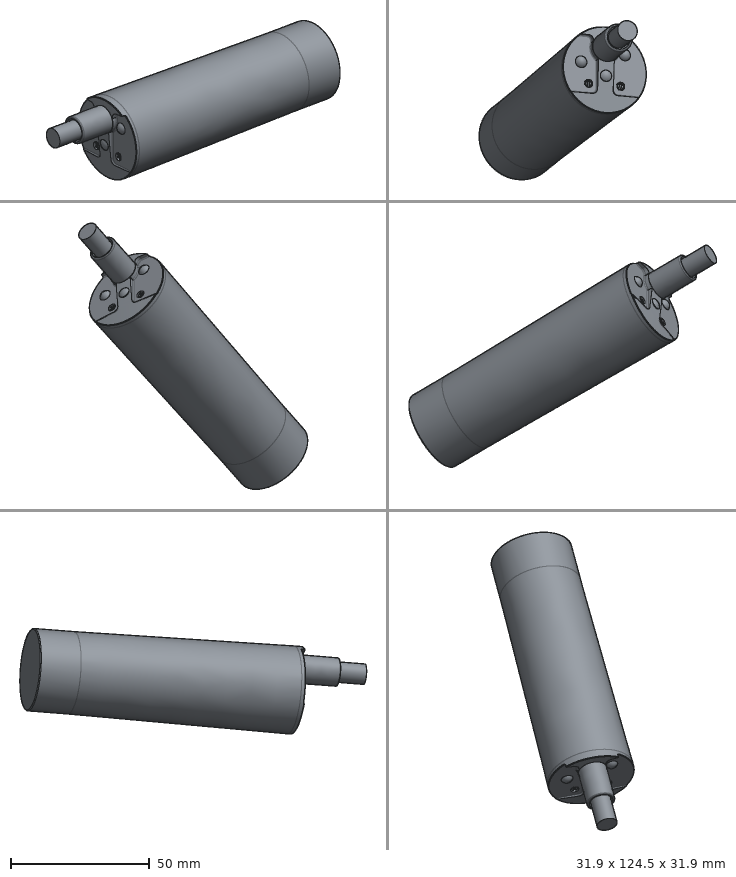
import cadquery as cq
import math

total_length = 124.5
front_diameter = 31.9
rear_diameter = 29.9

end_face_y = 25.9
rim_line_y = 27.4
cap_length = 15.2
front_edge_chamfer = 0.2
rim_tolerance = 0.01
rear_edge_chamfer = 0.4

cable_z = 8.1
cable_diameter = 7.5
sleeve_tip_y = 10.0
sleeve_root_diameter = 10.5
sleeve_tip_diameter = 10.3
sleeve_edge_fillet = 0.4
sleeve_mouth_diameter = 8.7
sleeve_mouth_depth = 0.6

cone_angle = 6.0
recess_top_z = 12.5
recess_bottom_z = -9.1
strip_half_width = 3.0
collar_half_width = 5.0
collar_radius = 5.4
recess_corner_radius = 1.9
recess_floor_fillet = 0.4

lamp_diameter = 4.4
recess_lamp_height = 1.4
strip_lamp_height = 0.9
recess_lamps = [(-9.0, 2.5), (7.6, 6.5)]
strip_lamp_z = -2.2

screw_x = 6.1
screw_z = -5.4
screw_hole_diameter = 3.0
screw_head_diameter = 2.2
screw_hole_depth = 1.2
screw_head_sink = 0.4
screw_slot_width = 0.7
screw_slot_depth = 0.5
screw_slot_angles = {-1: 0.0, 1: 15.0}

front_radius = front_diameter / 2
rear_radius = rear_diameter / 2
cone_radius = front_radius + cable_z
cone_height = cone_radius * math.tan(math.radians(cone_angle))


def facing_front(y, x=0.0, z=0.0):
    """Workplane at depth y with local axes X and Z; positive extrusion goes toward -Y."""
    return cq.Workplane("XZ", origin=(x, y, z))


def turned(points, z=0.0):
    """Solid of revolution from (radius, y) points around an axis along Y at height z."""
    profile = cq.Workplane("XY", origin=(0, 0, z)).polyline(points).close()
    return profile.revolve(360, (0, 0, 0), (0, 1, 0))


def housing():
    """Straight front ring, tapered body and straight rear cap."""
    return turned([
        (0, end_face_y),
        (front_radius, end_face_y),
        (front_radius, rim_line_y),
        (rear_radius, total_length - cap_length),
        (rear_radius, total_length - rear_edge_chamfer),
        (rear_radius - rear_edge_chamfer, total_length),
        (0, total_length),
    ])


def recess_block(side):
    """Space of one side recess in the plate, side = -1 for left and 1 for right."""
    height = recess_top_z - recess_bottom_z
    middle_z = (recess_top_z + recess_bottom_z) / 2
    inner = strip_half_width
    block = (
        facing_front(end_face_y, side * (inner + front_radius / 2), middle_z)
        .rect(front_radius, height)
        .extrude(cone_height)
    )
    collar_height = recess_top_z - cable_z
    upper = (
        facing_front(end_face_y, 0, cable_z + collar_height / 2)
        .rect(2 * collar_half_width, collar_height)
        .extrude(cone_height)
    )
    block = block.cut(upper)
    corners = [
        (side * collar_half_width, recess_top_z),
        (side * inner, recess_bottom_z),
    ]
    plate_middle_y = end_face_y - cone_height / 2
    for x, z in corners:
        corner = cq.selectors.NearestToPointSelector((x, plate_middle_y, z))
        block = block.edges("|Y").edges(corner).fillet(recess_corner_radius)
    collar = facing_front(end_face_y, 0, cable_z).circle(collar_radius).extrude(cone_height)
    return block.cut(collar).faces(">Y").edges().fillet(recess_floor_fillet)


def raised_plate():
    """Shallow cone trimmed to the housing, with both side recesses taken out."""
    cone = turned([
        (0, rim_line_y),
        (cone_radius, rim_line_y),
        (cone_radius, end_face_y),
        (0, end_face_y - cone_height),
    ], cable_z)
    disc = facing_front(rim_line_y).circle(front_radius).extrude(rim_line_y)
    plate = cone.intersect(disc)
    for side in (-1, 1):
        plate = plate.cut(recess_block(side))
    return plate


def break_front_rim(body):
    """Chamfer the outer front edge, which follows the plate and the recess floors."""
    def on_front_rim(edge):
        middle = edge.positionAt(0.5)
        on_wall = abs(math.hypot(middle.x, middle.z) - front_radius) < rim_tolerance
        return on_wall and middle.y < end_face_y + rim_tolerance

    rim = [edge for edge in body.edges().vals() if on_front_rim(edge)]
    return body.newObject(rim).chamfer(front_edge_chamfer)


def cable_and_sleeve():
    """Tapered sleeve with a flared mouth, and the cable leaving through it."""
    cable_radius = cable_diameter / 2
    sleeve = turned([
        (0, end_face_y),
        (sleeve_root_diameter / 2, end_face_y),
        (sleeve_tip_diameter / 2, sleeve_tip_y),
        (0, sleeve_tip_y),
    ], cable_z)
    sleeve = sleeve.faces("<Y").edges().fillet(sleeve_edge_fillet)
    mouth = turned([
        (0, sleeve_tip_y),
        (sleeve_mouth_diameter / 2, sleeve_tip_y),
        (cable_radius, sleeve_tip_y + sleeve_mouth_depth),
        (0, sleeve_tip_y + sleeve_mouth_depth),
    ], cable_z)
    cable = facing_front(end_face_y, 0, cable_z).circle(cable_radius).extrude(end_face_y)
    return sleeve.cut(mouth).union(cable)


def lamp(x, z, base_y, height):
    """Spherical dome standing on a flat base at base_y, with a stub reaching back into the housing."""
    radius = lamp_diameter / 2
    sphere_radius = (radius ** 2 + height ** 2) / (2 * height)
    sphere = cq.Workplane("XY", origin=(x, base_y - height + sphere_radius, z)).sphere(sphere_radius)
    stub_length = rim_line_y - base_y
    envelope = facing_front(rim_line_y, x, z).circle(radius).extrude(stub_length + height)
    stub = facing_front(rim_line_y, x, z).circle(radius).extrude(stub_length)
    return sphere.intersect(envelope).union(stub)


def screw_cut(side):
    """Annular gap, sunk head and slot of one trimmer screw."""
    x = side * screw_x
    hole = (
        facing_front(end_face_y, x, screw_z)
        .circle(screw_hole_diameter / 2)
        .extrude(-screw_hole_depth)
    )
    head_y = end_face_y + screw_head_sink
    head = (
        facing_front(head_y, x, screw_z)
        .circle(screw_head_diameter / 2)
        .extrude(screw_head_sink - screw_hole_depth)
    )
    slot = (
        facing_front(head_y, x, screw_z)
        .transformed(rotate=(0, 0, -screw_slot_angles[side]))
        .rect(screw_slot_width, screw_hole_diameter)
        .extrude(-screw_slot_depth)
    )
    return hole.cut(head.cut(slot))


result = break_front_rim(housing().union(raised_plate())).union(cable_and_sleeve())
for lamp_x, lamp_z in recess_lamps:
    result = result.union(lamp(lamp_x, lamp_z, end_face_y, recess_lamp_height))
strip_lamp_reach = cable_z - strip_lamp_z
strip_lamp_y = end_face_y - cone_height * (1 - strip_lamp_reach / cone_radius)
result = result.union(lamp(0, strip_lamp_z, strip_lamp_y, strip_lamp_height))
for screw_side in screw_slot_angles:
    result = result.cut(screw_cut(screw_side))